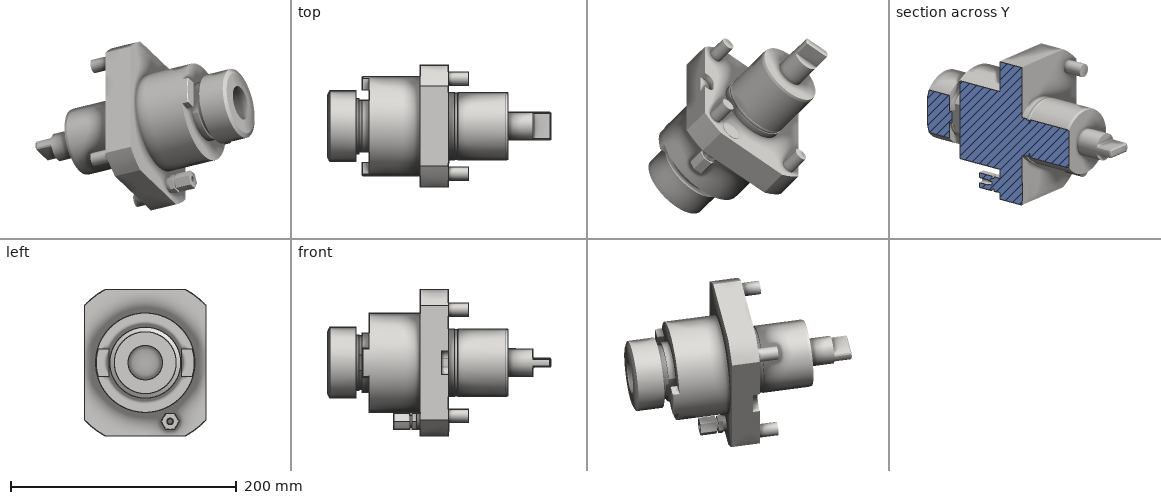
import cadquery as cq
import math

overall_length = 197.66

flange_width = 108.0
flange_height = 130.0
flange_thickness = 25.0
flange_corner_radius = 74.0
key_slot_width = 21.0
key_slot_depth = 6.0
key_slot_length = 10.0
key_slot_corner_radius = 6.6

pin_radius = 6.0
pin_length = 18.0
pin_spacing_y = 84.0
pin_spacing_z = 94.0

housing_radius = 44.0
housing_face_x = -70.1
lug_tip_x = -76.2
lug_width = 24.4
lug_inner_y = 32.0
lug_chamfer = 0.6

shoulder_radius = 26.5
shoulder_front_x = lug_tip_x
neck_radius = 24.0
neck_front_x = -78.9
wrench_flat_width = 46.0
collar_radius = 24.6
nut_radius = 31.4
nut_rear_x = -81.6
nut_front_x = -106.8
nut_chamfer_length = 1.9
nut_chamfer_depth = 4.0
nut_bore_radius = 15.25
nut_bore_depth = 14.0

shank_radius = 30.0
shank_end_x = 53.0
shank_chamfer_length = 2.4
shank_chamfer_depth = 0.5
groove_start_x = 5.4
groove_end_x = 8.8
groove_floor_radius = 28.0
seal_width = 2.8
seal_edge_radius = 29.3
seal_crown_radius = 29.6

shaft_radius = 12.35
tang_start_x = 75.0
tang_end_x = nut_front_x + overall_length
tang_thickness = 8.0
tang_root_radius = 1.3
tang_edge_thickness = 5.5
tang_face_width = 22.2
tang_tip_chamfer_length = 1.2
tang_tip_chamfer_depth = 0.6

fitting_y = -22.0
fitting_z = -52.0
fitting_hex_flats = 14.2
fitting_nut_front_x = -48.3
fitting_nut_rear_x = -33.9
fitting_neck_radius = 5.6
fitting_hex_front_x = -32.2
fitting_hex_rear_x = -28.0
fitting_base_radius = 7.1
fitting_bore_radius = 2.9
fitting_bore_depth = 10.0
fitting_inner_radius = 2.4
fitting_inner_depth = 14.0

coolant_seal_y = -24.0
coolant_seal_radius = 8.7
coolant_seal_height = 0.6


def cylinder(radius, x_start, x_end, y=0.0, z=0.0):
    """Round bar parallel to X."""
    return cq.Workplane("YZ", origin=(x_start, y, z)).circle(radius).extrude(x_end - x_start)


def box(x_start, x_end, width, height, y=0.0):
    """Block between two X positions, centred at y and on the axis height."""
    return cq.Workplane("YZ", origin=(x_start, y, 0)).rect(width, height).extrude(x_end - x_start)


def hexagon(flats, x_start, x_end, y, z):
    """Hexagonal bar parallel to X with two corners pointing along Y."""
    across_corners = flats / math.cos(math.pi / 6)
    profile = cq.Workplane("YZ", origin=(x_start, y, z)).polygon(6, across_corners)
    return profile.extrude(x_end - x_start)


def make_flange():
    plate = box(-flange_thickness, 0, flange_width, flange_height)
    plate = plate.intersect(cylinder(flange_corner_radius, -flange_thickness, 0))
    slot = box(-key_slot_depth, 0, 2 * key_slot_length, key_slot_width, -flange_width / 2)
    slot = slot.edges("|X").fillet(key_slot_corner_radius)
    return plate.cut(slot)


def make_pins():
    pins = cq.Workplane("YZ").rect(pin_spacing_y, pin_spacing_z, forConstruction=True)
    return pins.vertices().circle(pin_radius).extrude(pin_length)


def make_housing():
    barrel = cylinder(housing_radius, lug_tip_x, -flange_thickness)
    barrel = barrel.faces("<X").chamfer(lug_chamfer)
    front_waste = cylinder(2 * housing_radius, lug_tip_x, housing_face_x)
    lug_band = box(lug_tip_x, housing_face_x, 2 * housing_radius, lug_width)
    lug_band = lug_band.cut(box(lug_tip_x, housing_face_x, 2 * lug_inner_y, lug_width))
    return barrel.cut(front_waste.cut(lug_band))


def make_spindle():
    stub = cylinder(shoulder_radius, shoulder_front_x, housing_face_x)
    stub = stub.union(cylinder(neck_radius, neck_front_x, shoulder_front_x))
    stub = stub.intersect(box(neck_front_x, housing_face_x, wrench_flat_width, 2 * shoulder_radius))
    return stub.union(cylinder(collar_radius, nut_rear_x, neck_front_x))


def make_nut():
    nut = cylinder(nut_radius, nut_front_x, nut_rear_x)
    return nut.faces("<X").chamfer(nut_chamfer_length, nut_chamfer_depth)


def make_shank():
    profile = (
        cq.Workplane("XY")
        .moveTo(0, 0)
        .lineTo(0, shank_radius)
        .lineTo(groove_start_x, shank_radius)
        .lineTo(groove_start_x, seal_edge_radius)
        .threePointArc(
            (groove_start_x + seal_width / 2, seal_crown_radius),
            (groove_start_x + seal_width, seal_edge_radius),
        )
        .lineTo(groove_start_x + seal_width, groove_floor_radius)
        .lineTo(groove_end_x, groove_floor_radius)
        .lineTo(groove_end_x, shank_radius)
        .lineTo(shank_end_x - shank_chamfer_length, shank_radius)
        .lineTo(shank_end_x, shank_radius - shank_chamfer_depth)
        .lineTo(shank_end_x, 0)
        .close()
    )
    return profile.revolve(360, (0, 0, 0), (1, 0, 0))


def make_shaft():
    shaft = cylinder(shaft_radius, shank_end_x, tang_end_x)
    tang_length = tang_end_x - tang_start_x
    waste = cq.Workplane("XY", origin=(tang_start_x, 0, tang_thickness / 2)).box(
        tang_length, 2 * shaft_radius, shaft_radius, centered=(False, True, False)
    )
    waste = waste.edges("<X and <Z").fillet(tang_root_radius)
    shaft = shaft.cut(waste).cut(waste.mirror("XY"))
    half_edge = tang_edge_thickness / 2
    edge_y = math.sqrt(shaft_radius**2 - half_edge**2)
    bevel = (
        cq.Workplane("YZ", origin=(tang_start_x, 0, 0))
        .moveTo(tang_face_width / 2, tang_thickness / 2)
        .lineTo(edge_y, half_edge)
        .lineTo(shaft_radius, tang_thickness)
        .close()
        .extrude(tang_length)
    )
    for upper_bevel in (bevel, bevel.mirror("XZ")):
        shaft = shaft.cut(upper_bevel).cut(upper_bevel.mirror("XY"))
    return shaft.faces(">X").chamfer(tang_tip_chamfer_length, tang_tip_chamfer_depth)


def make_fitting():
    place = (fitting_y, fitting_z)
    fitting = hexagon(fitting_hex_flats, fitting_nut_front_x, fitting_nut_rear_x, *place)
    fitting = fitting.union(cylinder(fitting_neck_radius, fitting_nut_rear_x, fitting_hex_front_x, *place))
    fitting = fitting.union(hexagon(fitting_hex_flats, fitting_hex_front_x, fitting_hex_rear_x, *place))
    return fitting.union(cylinder(fitting_base_radius, fitting_hex_rear_x, -flange_thickness, *place))


def make_coolant_seal():
    return cylinder(coolant_seal_radius, 0, coolant_seal_height, coolant_seal_y, fitting_z)


def make_bores():
    nut_bore = cylinder(nut_bore_radius, nut_front_x, nut_front_x + nut_bore_depth)
    bore_floor_x = fitting_nut_front_x + fitting_bore_depth
    inner_end_x = fitting_nut_front_x + fitting_inner_depth
    fitting_bore = cylinder(fitting_bore_radius, fitting_nut_front_x, bore_floor_x, fitting_y, fitting_z)
    inner_bore = cylinder(fitting_inner_radius, bore_floor_x, inner_end_x, fitting_y, fitting_z)
    return nut_bore.union(fitting_bore).union(inner_bore)


result = make_flange()
for make_piece in (
    make_pins,
    make_housing,
    make_spindle,
    make_nut,
    make_shank,
    make_shaft,
    make_fitting,
    make_coolant_seal,
):
    result = result.union(make_piece())
result = result.cut(make_bores())